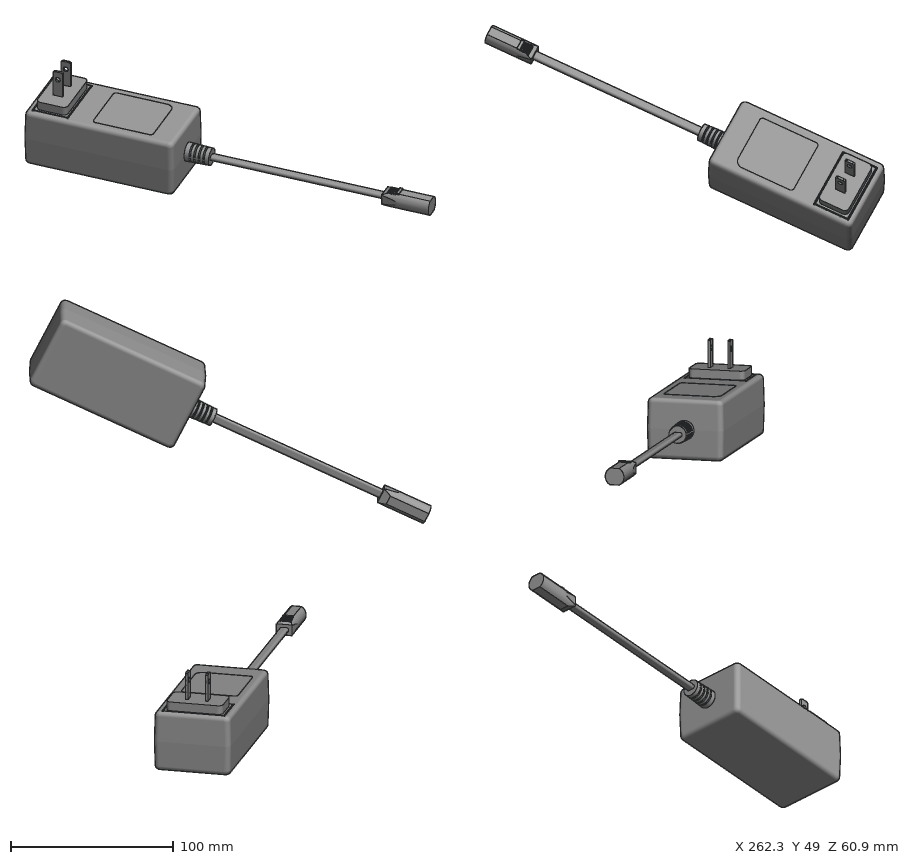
import cadquery as cq

OVERALL_LENGTH = 262.31
OVERALL_HEIGHT = 60.85

CASE_LENGTH = 99.7
CASE_WIDTH = 49.0
CASE_HEIGHT = 37.8
CASE_HALF_HEIGHT = CASE_HEIGHT / 2
CASE_DRAFT = 1.5
CASE_CORNER_RADIUS = 3.4
CASE_EDGE_RADIUS = 2.8

PLUG_X = 16.0
MOAT_LENGTH = 24.0
MOAT_WIDTH = 40.0
MOAT_DEPTH = 1.5
MOAT_GAP = 0.8
BASE_LENGTH = 20.3
BASE_WIDTH = 35.7
BASE_HEIGHT = 5.6
BASE_CORNER_RADIUS = 3.0

BLADE_WIDTH = 6.3
BLADE_THICKNESS = 1.5
BLADE_SPACING = 12.7
BLADE_LENGTH = OVERALL_HEIGHT - CASE_HEIGHT - BASE_HEIGHT
BLADE_TIP_CHAMFER = 1.2
BLADE_TIP_CHAMFER_HEIGHT = 0.6
BLADE_HOLE_DIAMETER = 3.2
BLADE_HOLE_HEIGHT = 11.9

LABEL_X = 63.4
LABEL_LENGTH = 40.0
LABEL_WIDTH = 36.0
LABEL_DEPTH = 0.2
LABEL_CORNER_RADIUS = 2.0
LABEL_KEY_CORNER_RADIUS = 5.0

RELIEF_LENGTH = 15.9
RELIEF_START_RADIUS = 6.1
RELIEF_END_RADIUS = 5.5
RELIEF_WEB_THICKNESS = 1.5
SLOT_COUNT = 4
SLOT_WIDTH = 1.0
SLOT_PITCH = 3.0
FIRST_SLOT_OFFSET = 3.6

CORD_WIDTH = 5.8
CORD_HEIGHT = 3.0

CONNECTOR_START = 230.8
BARREL_DIAMETER = 12.0
BARREL_HEIGHT = 10.5
TAIL_WIDTH = 10.2
TAIL_SIDE_TAPER_LENGTH = 11.3
TAIL_HEIGHT = 7.0
TAIL_TOP_TAPER_LENGTH = 5.0
GRIP_START = 233.6
GRIP_WIDTH = 6.6
GRIP_GROOVE_COUNT = 4
GRIP_GROOVE_WIDTH = 0.8
GRIP_GROOVE_PITCH = 1.6
GRIP_GROOVE_BOTTOM = 3.2
GRIP_RIDGE_START = 239.6
GRIP_RIDGE_LENGTH = 2.0
GRIP_RIDGE_TOP = 5.9

OVERLAP = 1.0


def make_half_case(direction):
    shell = (
        cq.Workplane("XY")
        .center(CASE_LENGTH / 2, 0)
        .rect(CASE_LENGTH, CASE_WIDTH)
        .extrude(direction * CASE_HALF_HEIGHT, taper=CASE_DRAFT)
    )
    shell = shell.edges("not(#Z or |X or |Y)").fillet(CASE_CORNER_RADIUS)
    outer_face = ">Z" if direction > 0 else "<Z"
    return shell.faces(outer_face).edges().fillet(CASE_EDGE_RADIUS)


def make_moat():
    moat = cq.Workplane("XY").box(MOAT_LENGTH, MOAT_WIDTH, MOAT_DEPTH)
    plate = cq.Workplane("XY").box(
        MOAT_LENGTH - 2 * MOAT_GAP, MOAT_WIDTH - 2 * MOAT_GAP, MOAT_DEPTH
    )
    return moat.cut(plate).translate((PLUG_X, 0, CASE_HALF_HEIGHT - MOAT_DEPTH / 2))


def make_label_recess():
    recess = cq.Workplane("XY").box(LABEL_LENGTH, LABEL_WIDTH, 2 * LABEL_DEPTH)
    key_corner = ">X and >Y"
    recess = recess.edges("|Z").edges(f"not({key_corner})").fillet(LABEL_CORNER_RADIUS)
    recess = recess.edges("|Z").edges(key_corner).fillet(LABEL_KEY_CORNER_RADIUS)
    return recess.translate((LABEL_X, 0, CASE_HALF_HEIGHT))


def make_plug_base():
    return (
        cq.Workplane("XY", origin=(PLUG_X, 0, CASE_HALF_HEIGHT - OVERLAP))
        .rect(BASE_LENGTH, BASE_WIDTH)
        .extrude(BASE_HEIGHT + OVERLAP)
        .edges("|Z")
        .fillet(BASE_CORNER_RADIUS)
    )


def make_blade(y):
    base_top = CASE_HALF_HEIGHT + BASE_HEIGHT
    half_width = BLADE_WIDTH / 2
    tip_half_width = half_width - BLADE_TIP_CHAMFER
    shoulder = BLADE_LENGTH - BLADE_TIP_CHAMFER_HEIGHT
    outline = [
        (-half_width, -OVERLAP),
        (half_width, -OVERLAP),
        (half_width, shoulder),
        (tip_half_width, BLADE_LENGTH),
        (-tip_half_width, BLADE_LENGTH),
        (-half_width, shoulder),
    ]
    plane = cq.Workplane("XZ", origin=(PLUG_X, y, base_top))
    blade = plane.polyline(outline).close().extrude(BLADE_THICKNESS / 2, both=True)
    hole = (
        plane.center(0, BLADE_HOLE_HEIGHT)
        .circle(BLADE_HOLE_DIAMETER / 2)
        .extrude(BLADE_THICKNESS, both=True)
    )
    return blade.cut(hole)


def make_strain_relief():
    profile = [
        (CASE_LENGTH - OVERLAP, 0),
        (CASE_LENGTH - OVERLAP, RELIEF_START_RADIUS),
        (CASE_LENGTH, RELIEF_START_RADIUS),
        (CASE_LENGTH + RELIEF_LENGTH, RELIEF_END_RADIUS),
        (CASE_LENGTH + RELIEF_LENGTH, 0),
    ]
    relief = cq.Workplane("XY").polyline(profile).close().revolve(360, (0, 0, 0), (1, 0, 0))
    slot_size = 2 * RELIEF_START_RADIUS
    for index in range(SLOT_COUNT):
        slot_x = CASE_LENGTH + FIRST_SLOT_OFFSET + index * SLOT_PITCH
        for side in (1, -1):
            slot_z = side * (RELIEF_WEB_THICKNESS + slot_size) / 2
            slot = cq.Workplane("XY").box(SLOT_WIDTH, slot_size, slot_size)
            relief = relief.cut(slot.translate((slot_x, 0, slot_z)))
    return relief


def make_cord():
    cord_length = CONNECTOR_START - CASE_LENGTH + 2 * OVERLAP
    return (
        cq.Workplane("YZ", origin=(CASE_LENGTH - OVERLAP, 0, 0))
        .slot2D(CORD_WIDTH, CORD_HEIGHT)
        .extrude(cord_length)
    )


def make_tapered_slab(plane, tail_size, barrel_size, taper_length):
    """A thick slab along X whose outline widens from the tail to the barrel."""
    taper_end = CONNECTOR_START + taper_length
    outline = [
        (CONNECTOR_START, -tail_size / 2),
        (taper_end, -barrel_size / 2),
        (OVERALL_LENGTH, -barrel_size / 2),
        (OVERALL_LENGTH, barrel_size / 2),
        (taper_end, barrel_size / 2),
        (CONNECTOR_START, tail_size / 2),
    ]
    return cq.Workplane(plane).polyline(outline).close().extrude(BARREL_DIAMETER, both=True)


def make_connector():
    barrel = (
        cq.Workplane("YZ", origin=(CONNECTOR_START, 0, 0))
        .circle(BARREL_DIAMETER / 2)
        .extrude(OVERALL_LENGTH - CONNECTOR_START)
    )
    side_slab = make_tapered_slab("XY", TAIL_WIDTH, BARREL_DIAMETER, TAIL_SIDE_TAPER_LENGTH)
    top_slab = make_tapered_slab("XZ", TAIL_HEIGHT, BARREL_HEIGHT, TAIL_TOP_TAPER_LENGTH)
    connector = barrel.intersect(side_slab).intersect(top_slab)
    ridge = cq.Workplane("XY").box(
        GRIP_RIDGE_LENGTH, GRIP_WIDTH, GRIP_RIDGE_TOP, centered=(False, True, False)
    )
    connector = connector.union(ridge.translate((GRIP_RIDGE_START, 0, 0)))
    for index in range(GRIP_GROOVE_COUNT):
        groove_x = GRIP_START + index * GRIP_GROOVE_PITCH + GRIP_GROOVE_WIDTH / 2
        groove = cq.Workplane("XY").box(
            GRIP_GROOVE_WIDTH, GRIP_WIDTH, BARREL_DIAMETER, centered=(True, True, False)
        )
        connector = connector.cut(groove.translate((groove_x, 0, GRIP_GROOVE_BOTTOM)))
    return connector


case = make_half_case(1).union(make_half_case(-1))
case = case.cut(make_moat()).cut(make_label_recess())
result = case.union(make_plug_base())
for blade_y in (-BLADE_SPACING / 2, BLADE_SPACING / 2):
    result = result.union(make_blade(blade_y))
result = result.union(make_strain_relief()).union(make_cord()).union(make_connector())